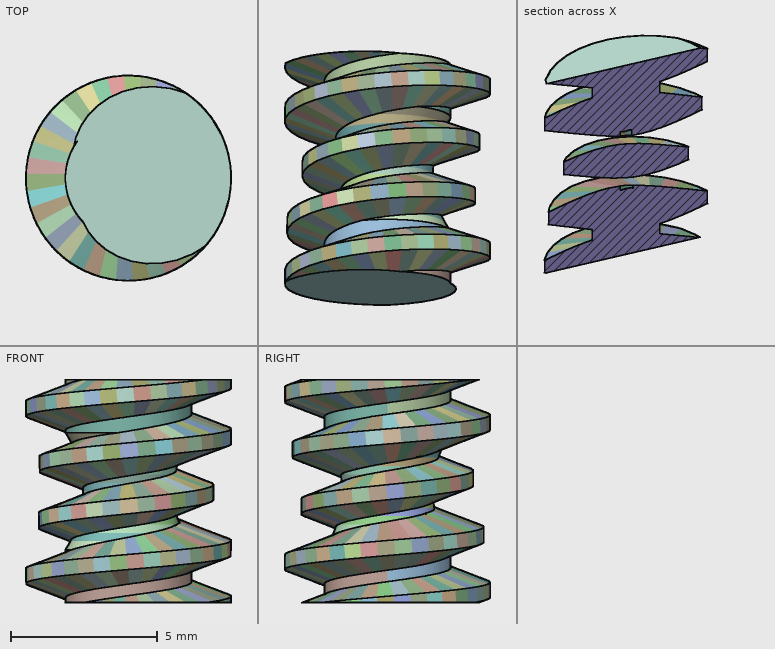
import cadquery as cq
import math

pitch = 1.9
turns = 4
outer_diameter = 7.0
tooth_module = 0.6
gear_teeth = 12
clearance_factor = 0.25
pressure_angle = math.radians(20)
throat_depth = 0.6
thread_shift = -0.038

facets_per_turn = 38
middle_station_angle = math.radians(-0.6)
waist_slices = 14
root_overlap = 0.4

length = turns * pitch
addendum = tooth_module
dedendum = (1 + clearance_factor) * tooth_module
pitch_radius = outer_diameter / 2 - addendum
root_radius = pitch_radius - dedendum
lead_angle = math.atan(pitch / (2 * math.pi * pitch_radius))
facet_length = 2 * math.pi * pitch_radius / facets_per_turn

gear_pitch_radius = gear_teeth * tooth_module / 2
gear_root_radius = gear_pitch_radius - addendum
throat_half_length = math.sqrt(gear_pitch_radius**2 - (gear_pitch_radius - throat_depth) ** 2)


def throat_inset(z, arc_radius):
    """Radial inset at height z of a throat arc that is throat_depth deep at z = 0."""
    if abs(z) >= arc_radius:
        return 0.0
    return max(0.0, math.sqrt(arc_radius**2 - z**2) - (arc_radius - throat_depth))


def thread_height(angle):
    """Height of the tooth centre after turning through angle."""
    return pitch * angle / (2 * math.pi) + thread_shift


def make_core():
    """Root cylinder, longer than the worm, with a waist of short conical slices."""
    slice_height = 2 * throat_half_length / waist_slices
    waist = []
    for k in range(waist_slices + 1):
        z = -throat_half_length + k * slice_height
        waist.append((root_radius - throat_inset(z, gear_pitch_radius), z))
    outline = [(0, -length), (root_radius, -length), *waist, (root_radius, length), (0, length)]
    return cq.Workplane("XZ").polyline(outline).close().revolve(360, (0, 0), (0, 1))


def station_angles():
    """Angles of the tooth sections, one facet length apart along the pitch surface."""

    def walk(direction):
        angle = middle_station_angle
        angles = []
        while abs(thread_height(angle)) < length / 2 + pitch:
            inset = throat_inset(thread_height(angle), gear_pitch_radius)
            angle += direction * facet_length / (pitch_radius - inset)
            angles.append(angle)
        return angles

    return walk(-1)[::-1] + [middle_station_angle] + walk(1)


def thread_section(angle):
    """Corners of the trapezoidal tooth section, square to the helix at this angle."""
    z = thread_height(angle)
    local_pitch_radius = pitch_radius - throat_inset(z, gear_root_radius)
    inner_offset = -dedendum - root_overlap
    corners = []
    for offset, side in ((inner_offset, -1), (addendum, -1), (addendum, 1), (inner_offset, 1)):
        radius = local_pitch_radius + offset
        across = side * (pitch / 4 - offset * math.tan(pressure_angle))
        sideways = -across * math.sin(lead_angle)
        x = radius * math.cos(angle) - sideways * math.sin(angle)
        y = radius * math.sin(angle) + sideways * math.cos(angle)
        corners.append(cq.Vector(x, y, z + across * math.cos(lead_angle)))
    return corners


def make_thread():
    """Right-handed tooth made of short straight steps, running past both worm ends."""
    sections = [thread_section(angle) for angle in station_angles()]
    faces = []
    for lower, upper in zip(sections, sections[1:]):
        for i in range(len(lower)):
            lower_edge = cq.Edge.makeLine(lower[i - 1], lower[i])
            upper_edge = cq.Edge.makeLine(upper[i - 1], upper[i])
            faces.append(cq.Face.makeRuledSurface(lower_edge, upper_edge))
    for end in (sections[0], sections[-1]):
        faces.append(cq.Face.makeFromWires(cq.Wire.makePolygon(end, close=True)))
    return cq.Workplane(obj=cq.Solid.makeSolid(cq.Shell.makeShell(faces)))


def make_worm():
    """Core and thread joined, then cut square at both ends."""
    envelope = cq.Workplane("XY").box(2 * outer_diameter, 2 * outer_diameter, length)
    return make_core().union(make_thread()).intersect(envelope)


result = make_worm()